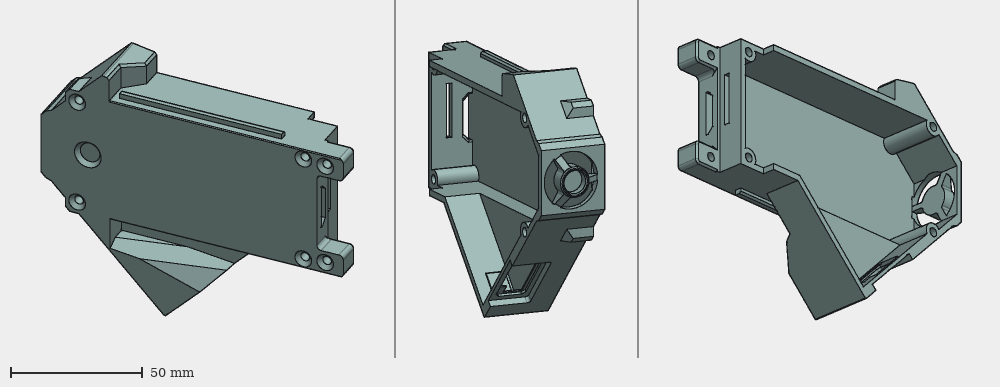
import cadquery as cq
import math

DEPTH = 26.5
BODY_HALF = 26.4
FLOOR = 3.9
WALL = 2.5
FAR = 200.0
OVERLAP = 1.0

NOSE_HALF = 12.7
NOSE_STEP = (2.3, 15.0)
FLANK_START_Z = 15.7
FLANK_OFFSET = 11.3

STEP_X = 102.5
END_X = 114.9
NOTCH_X = 116.2
ARM_X = 127.32
STEP_DEPTH = 21.1
ARM_DEPTH = 10.0
ARM_INNER = 16.6
ARM_RADIUS = 1.8
ARM_BREAK = 0.8
END_WALL = 2.5
EDGE_BREAK = 0.4

FIN_TOP = 36.85
FIN_FLAT_X = 26.4
FIN_X = 36.2
FIN_END_TOP = 35.2
FIN_FRONT_X = 28.7
FIN_RAMP = (10.4, 17.4)
FIN_BREAK = 0.9

WEDGE_BOTTOM = -63.2
WEDGE_SUM = 115.7
WEDGE_FLOOR = 12.0
WEDGE_LEFT_WALL = 4.2
RELIEF_X = 29.2
RELIEF_DEPTH = 10.1
RELIEF_Z = -36.8
FACET_Z = -40.6
FACET_RISE = 0.2
UPPER_FACET_X = 6.5
RIDGE_X = 41.5
LOWER_FACET_SLOPE = 0.62

RECESS_Z = (-37.9, -57.9)
RECESS_DEPTH = 2.7
RECESS_Y = 10.0
RECESS_RADIUS = 1.2
STEP_Z = (-38.0, -54.3)
STEP_Y = (12.0, 24.4)
INNER_STEP = 1.0
STEP_BREAK = 1.4
WINDOW_FRONT = 13.2
WINDOW_SHORT_Z = -50.0
WINDOW_LONG_Z = -52.9
PAD_Y = (WINDOW_FRONT, 21.0)
PAD_TOP = -48.9
PAD_THICKNESS = 0.6

RAIL_X = (31.5, 99.7)
RAIL_Y = (3.5, 6.4)
RAIL_HALF = 28.5
RAIL_BREAK = 0.8

SCREW_DIAMETER = 3.6
SCREW_HEAD = 7.0
SCREW_POST = 7.6
CORNER_SCREW_X = (15.3, 110.5)
CORNER_SCREW_Z = 22.3
ARM_SCREW_X = 119.7
ARM_SCREW_Z = 21.5
DIMPLE_X = 19.8
DIMPLE_DIAMETERS = (11.2, 8.2)
DIMPLE_DEPTH = 2.0

BULGE_X = 10.3
BULGE_Z = 27.3
BULGE_HEIGHT = 2.7
BULGE_DEPTH = 11.2

HUB_Y = 14.1
OPENING_RADIUS = 11.2
HUB_RADIUS = 6.0
HUB_BORE = 9.0
HUB_BREAK = 0.5
HUB_FRONT = -4.0
HUB_BACK = 2.5
SPOKE_RIM = 10.8
SPOKES = ((180, 2.3), (60, 3.0), (-60, 3.0))
SPOKE_FILLET = 1.0
SPOKE_OVERLAP = 0.6

SLOT_Y = (12.6, 14.8)
SLOT_Z = (-7.1, 14.0)
PORT_Y = (FLOOR, 7.5)
PORT_HALF = 9.0
PORT_CORNER = 2.5
PORT_BREAK = 0.7


def prism(points, y_start, y_end):
    """Outline in X and Z carried from y_start to y_end."""
    plane = cq.Workplane("XZ", origin=(0, y_start, 0))
    return plane.polyline(points).close().extrude(y_start - y_end)


def block(x_range, y_range, z_range):
    """Box between the given limits."""
    size = [limits[1] - limits[0] for limits in (x_range, y_range, z_range)]
    corner = (x_range[0], y_range[0], z_range[0])
    return cq.Workplane("XY").box(*size, centered=False).translate(corner)


def cylinder(x, z, diameter, y_start, y_end):
    plane = cq.Workplane("XZ", origin=(x, y_start, z))
    return plane.circle(diameter / 2).extrude(y_start - y_end)


def cone(x, z, wide, narrow, depth):
    """Conical sink entering the front plate."""
    sink = cq.Solid.makeCone(wide / 2, narrow / 2, depth, cq.Vector(x, 0, z), cq.Vector(0, 1, 0))
    return cq.Workplane(obj=sink)


def both_sides(solid):
    return solid.union(solid.mirror("XY"))


def flank(z):
    """X of the 45 degree flanks at height z."""
    return abs(z) - FLANK_OFFSET


def body():
    upper = [
        (0, NOSE_HALF),
        NOSE_STEP,
        (flank(FLANK_START_Z), FLANK_START_Z),
        (flank(BODY_HALF), BODY_HALF),
    ]
    lower = [(x, -z) for x, z in reversed(upper)]
    main = prism(upper + [(STEP_X, BODY_HALF), (STEP_X, -BODY_HALF)] + lower, 0, DEPTH)
    stepped = block((RELIEF_X, END_X), (0, STEP_DEPTH), (-BODY_HALF, BODY_HALF))
    plate = block((RELIEF_X, NOTCH_X), (0, ARM_DEPTH), (-BODY_HALF, BODY_HALF))
    arm = block((END_X, ARM_X), (0, ARM_DEPTH), (ARM_INNER, BODY_HALF))
    arm = arm.edges("|Y and >X").fillet(ARM_RADIUS)
    arm = arm.edges(">Y and >Z").chamfer(ARM_BREAK)
    shape = main.union(stepped).union(plate).union(both_sides(arm))
    notch_corners = cq.selectors.BoxSelector(
        (NOTCH_X - OVERLAP, -OVERLAP, -ARM_INNER - OVERLAP),
        (NOTCH_X + OVERLAP, ARM_DEPTH + OVERLAP, ARM_INNER + OVERLAP),
    )
    shape = shape.edges("|Y").edges(notch_corners).fillet(ARM_RADIUS)
    return shape.cut(both_sides(front_edge_break()))


def front_edge_break():
    section = [(0, BODY_HALF), (EDGE_BREAK, BODY_HALF), (0, BODY_HALF - EDGE_BREAK)]
    edge = cq.Workplane("YZ", origin=(RELIEF_X, 0, 0)).polyline(section).close()
    return edge.extrude(FAR)


def fin():
    root = BODY_HALF - WALL
    outline = [
        (flank(root), root),
        (flank(FIN_TOP), FIN_TOP),
        (FIN_FLAT_X, FIN_TOP),
        (FIN_X, FIN_END_TOP),
        (FIN_X, root),
    ]
    ramp_start, ramp_end = FIN_RAMP
    plan = [
        (0, 0),
        (FIN_FRONT_X, 0),
        (FIN_FRONT_X, ramp_start),
        (FIN_X, ramp_end),
        (FIN_X, DEPTH),
        (0, DEPTH),
    ]
    footprint = cq.Workplane("XY").polyline(plan).close().extrude(FAR)
    shape = prism(outline, 0, DEPTH).intersect(footprint)
    crest_normal = cq.Vector(FIN_TOP - FIN_END_TOP, 0, FIN_X - FIN_FLAT_X)
    crest = shape.faces(cq.selectors.DirectionMinMaxSelector(crest_normal, True))
    ramp_zone = cq.selectors.BoxSelector(
        (FIN_FRONT_X - OVERLAP, OVERLAP, 0), (FAR, DEPTH - OVERLAP, FAR)
    )
    ramp_edge = crest.edges(ramp_zone)
    return ramp_edge.chamfer(FIN_BREAK)


def wedge():
    root = -BODY_HALF + WALL
    outline = [
        (flank(root), root),
        (flank(WEDGE_BOTTOM), WEDGE_BOTTOM),
        (WEDGE_SUM + WEDGE_BOTTOM, WEDGE_BOTTOM),
        (WEDGE_SUM + root, root),
    ]
    relief = block((RELIEF_X, FAR), (0, RELIEF_DEPTH), (RELIEF_Z, root))
    return prism(outline, 0, DEPTH).cut(relief).cut(facets())


def facet_section(x):
    """Section of the facet relief, closed well in front of the plate."""
    upper_y = FACET_RISE * (x - UPPER_FACET_X)
    ridge_y = FACET_RISE * (x - RIDGE_X)
    drop = FAR / 4
    open_y = ridge_y - LOWER_FACET_SLOPE * drop
    return [(open_y, RELIEF_Z), (upper_y, RELIEF_Z), (ridge_y, FACET_Z), (open_y, FACET_Z - drop)]


def facets():
    end_x = WEDGE_SUM + RELIEF_Z + WALL
    section = cq.Workplane("YZ", origin=(RELIEF_X, 0, 0)).polyline(facet_section(RELIEF_X)).close()
    section = section.workplane(offset=end_x - RELIEF_X).polyline(facet_section(end_x)).close()
    limit = block((RELIEF_X, end_x), (-FAR, RELIEF_DEPTH), (-FAR, 0))
    return section.loft(ruled=True).intersect(limit)


def on_lower_flank(shape):
    """Move a shape so its X runs down the lower flank and its Z points into the part."""
    return shape.rotate((0, 0, 0), (0, 1, 0), 45).translate((-FLANK_OFFSET, 0, 0))


def along_flank(z, depth=0.0):
    """Distance down the lower flank to height z, at a depth below its surface."""
    return depth - z * math.sqrt(2)


def bulge():
    """Rib along the lower flank with a 45 degree end."""
    profile = [
        (0, OVERLAP),
        (0, -BULGE_HEIGHT),
        (BULGE_DEPTH - BULGE_HEIGHT, -BULGE_HEIGHT),
        (BULGE_DEPTH, 0),
        (BULGE_DEPTH, OVERLAP),
    ]
    rib = cq.Workplane("YZ").polyline(profile).close().extrude(FAR)
    limit = block((BULGE_X, BULGE_Z), (0, DEPTH), (-BULGE_Z, 0))
    return on_lower_flank(rib).intersect(limit)


def rail():
    length = block(RAIL_X, RAIL_Y, (BODY_HALF - WALL, RAIL_HALF))
    return length.edges(">Y and >Z").chamfer(RAIL_BREAK)


def cavity():
    inner = BODY_HALF - WALL
    slant = WALL * math.sqrt(2)
    corner_x = inner - FLANK_OFFSET + slant
    nose_z = WALL + FLANK_OFFSET - slant
    outline = [
        (WALL, nose_z),
        (corner_x, inner),
        (END_X - END_WALL, inner),
        (END_X - END_WALL, -inner),
        (corner_x, -inner),
        (WALL, -nose_z),
    ]
    return prism(outline, FLOOR, DEPTH)


def wedge_cavity():
    inner = -BODY_HALF + WALL + OVERLAP
    left = WEDGE_LEFT_WALL * math.sqrt(2) - FLANK_OFFSET
    right = WEDGE_SUM - WALL * math.sqrt(2)
    tip = (left + right) / 2
    outline = [(left - inner, inner), (tip, tip - right), (right + inner, inner)]
    return prism(outline, WEDGE_FLOOR, DEPTH)


def inlet_pad():
    """Thin pad low on the inner face of the right wall of the wedge."""
    wall_sum = WEDGE_SUM - WALL
    pad_sum = WEDGE_SUM - (WALL + PAD_THICKNESS) * math.sqrt(2)
    bottom = WEDGE_BOTTOM + WALL * 2
    outline = [
        (pad_sum + PAD_TOP, PAD_TOP),
        (wall_sum + PAD_TOP, PAD_TOP),
        (wall_sum + bottom, bottom),
        (pad_sum + bottom, bottom),
    ]
    return prism(outline, *PAD_Y)


def inlet():
    """Stepped recess open to +Y, with a window through its inner step."""
    recess_span = [along_flank(z) for z in RECESS_Z]
    recess = block(recess_span, (RECESS_Y, FAR), (-OVERLAP, RECESS_DEPTH))
    recess = recess.edges("|Z and <Y").fillet(RECESS_RADIUS)

    step_depth = RECESS_DEPTH + INNER_STEP
    step_span = [along_flank(z, RECESS_DEPTH) for z in STEP_Z]
    step = block(step_span, STEP_Y, (0, step_depth)).edges("|Z").chamfer(STEP_BREAK)

    through = (0, WEDGE_LEFT_WALL + OVERLAP)
    short_span = (step_span[0], along_flank(WINDOW_SHORT_Z, step_depth))
    long_span = (step_span[0], along_flank(WINDOW_LONG_Z, step_depth))
    window = block(short_span, (WINDOW_FRONT, STEP_Y[1]), through)
    window = window.union(block(long_span, PAD_Y, through))
    window = window.edges("|Z and <X").chamfer(STEP_BREAK)
    return on_lower_flank(recess.union(step).union(window))


def screw_places():
    """X, Z and post height of the screws above the mid plane."""
    left_x, right_x = CORNER_SCREW_X
    return [
        (left_x, CORNER_SCREW_Z, DEPTH),
        (right_x, CORNER_SCREW_Z, STEP_DEPTH),
        (ARM_SCREW_X, ARM_SCREW_Z, ARM_DEPTH),
    ]


def screw_posts():
    posts = cq.Workplane()
    for x, z, height in screw_places()[:2]:
        posts = posts.add(cylinder(x, z, SCREW_POST, 0, height))
    return both_sides(posts.combine()).intersect(body())


def screw_holes():
    holes = cq.Workplane()
    for x, z, height in screw_places():
        holes = holes.add(cylinder(x, z, SCREW_DIAMETER, 0, height))
        holes = holes.add(cone(x, z, SCREW_HEAD, SCREW_DIAMETER, (SCREW_HEAD - SCREW_DIAMETER) / 2))
    return both_sides(holes.combine())


def hub_disc(radius, x_start, x_end):
    plane = cq.Workplane("YZ", origin=(x_start, HUB_Y, 0))
    return plane.circle(radius).extrude(x_end - x_start)


def hub():
    """Blind hub on three spokes that slope back to the left face."""
    ring = hub_disc(HUB_RADIUS, HUB_FRONT, HUB_BACK).faces("<X").chamfer(HUB_BREAK)
    profile = [
        (HUB_FRONT + HUB_BREAK, 0),
        (HUB_FRONT + HUB_BREAK, HUB_RADIUS - HUB_BREAK),
        (0, SPOKE_RIM),
        (0, OPENING_RADIUS + SPOKE_OVERLAP),
        (HUB_BACK, OPENING_RADIUS + SPOKE_OVERLAP),
        (HUB_BACK, 0),
    ]
    envelope = cq.Workplane("XY").polyline(profile).close().revolve(360, (0, 0, 0), (1, 0, 0))
    envelope = envelope.translate((0, HUB_Y, 0))
    for angle, width in SPOKES:
        half = width / 2
        spoke = block((HUB_FRONT, HUB_BACK), (0, OPENING_RADIUS * 2), (-half, half))
        spoke = spoke.rotate((0, 0, 0), (1, 0, 0), angle).translate((0, HUB_Y, 0))
        ring = ring.union(spoke.intersect(envelope))
    root_reach = HUB_RADIUS + SPOKE_FILLET
    roots = cq.selectors.BoxSelector(
        (HUB_FRONT, HUB_Y - root_reach, -root_reach), (HUB_BACK, HUB_Y + root_reach, root_reach)
    )
    ring = ring.edges("|X").edges(roots).fillet(SPOKE_FILLET)
    bore = hub_disc(HUB_BORE / 2, HUB_FRONT, 0).union(hub_mouth())
    return ring.cut(bore)


def hub_mouth():
    """Chamfer at the mouth of the hub bore."""
    radius = HUB_BORE / 2
    sink = cq.Solid.makeCone(
        radius + HUB_BREAK, radius, HUB_BREAK, cq.Vector(HUB_FRONT, HUB_Y, 0), cq.Vector(1, 0, 0)
    )
    return cq.Workplane(obj=sink)


def port_outline(x, margin):
    """Port section at x, grown by a margin on its sides and back."""
    front, back = PORT_Y[0], PORT_Y[1] + margin
    half = PORT_HALF + margin
    outline = [
        (front, half),
        (back - PORT_CORNER, half),
        (back, half - PORT_CORNER),
        (back, PORT_CORNER - half),
        (back - PORT_CORNER, -half),
        (front, -half),
    ]
    return cq.Workplane("YZ", origin=(x, 0, 0)).polyline(outline).close()


def end_wall_openings():
    inner_x = END_X - END_WALL
    slot = block((inner_x - OVERLAP, END_X + OVERLAP), SLOT_Y, SLOT_Z)
    port = port_outline(inner_x, 0).extrude(FAR)
    mouth_wires = [
        port_outline(inner_x, PORT_BREAK).val(),
        port_outline(inner_x + PORT_BREAK, 0).val(),
    ]
    mouth = cq.Workplane(obj=cq.Solid.makeLoft(mouth_wires, True))
    return slot.union(port).union(mouth)


result = body().union(fin()).union(wedge())
result = result.union(both_sides(rail())).union(both_sides(bulge()))
result = result.cut(cavity()).cut(wedge_cavity())
result = result.union(screw_posts()).union(inlet_pad())
result = result.cut(inlet()).cut(screw_holes()).cut(end_wall_openings())
result = result.cut(cone(DIMPLE_X, 0, *DIMPLE_DIAMETERS, DIMPLE_DEPTH))
result = result.cut(hub_disc(OPENING_RADIUS, -OVERLAP, WALL + OVERLAP)).union(hub())